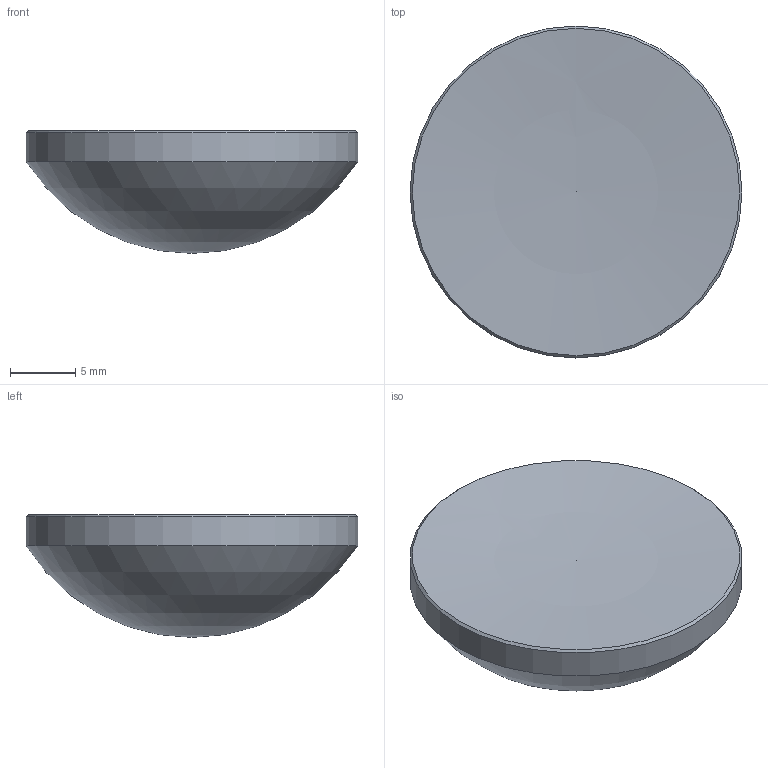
import cadquery as cq
import math

lens_diameter = 25.4
lens_radius = lens_diameter / 2
overall_height = 9.4
convex_radius = 15.0
concave_radius = 155.0
edge_chamfer = 0.18


def cap_depth(sphere_radius, rim_radius):
    """Depth of a spherical cap, measured from its rim to its vertex."""
    return sphere_radius - math.sqrt(sphere_radius**2 - rim_radius**2)


def profile_midpoint(sphere_radius, rim_radius, vertex_height):
    """Point on a spherical profile, halfway out from the axis to the rim."""
    middle_radius = rim_radius / 2
    return middle_radius, vertex_height + cap_depth(sphere_radius, middle_radius)


edge_bottom = cap_depth(convex_radius, lens_radius)
chamfer_bottom = overall_height - edge_chamfer
concave_rim_radius = lens_radius - edge_chamfer
concave_vertex = overall_height - cap_depth(concave_radius, concave_rim_radius)

half_section = (
    cq.Workplane("YZ")
    .moveTo(0, 0)
    .threePointArc(profile_midpoint(convex_radius, lens_radius, 0), (lens_radius, edge_bottom))
    .lineTo(lens_radius, chamfer_bottom)
    .lineTo(concave_rim_radius, overall_height)
    .threePointArc(
        profile_midpoint(concave_radius, concave_rim_radius, concave_vertex),
        (0, concave_vertex),
    )
    .close()
)

result = half_section.revolve(360, (0, 0, 0), (0, 1, 0))